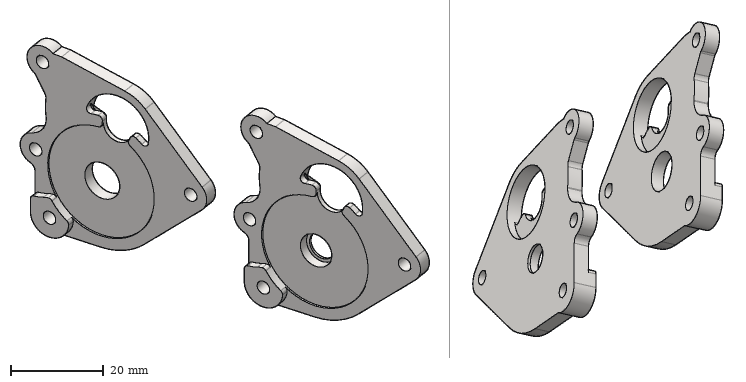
import cadquery as cq
import math


plate_axis = (0, 0)
plate_thickness = 3.6
plate_spacing = 55.0
rim_radius = 16.6
corner_fillet = 1.0

screw_diameter = 3.2
top_screw = (-15.0, 25.4)
side_screw = (-16.8, 2.8)
right_screw = (23.1, 4.1)
foot_screw = (-12.0, -12.0)
lobe_radius = 4.0
right_lobe_radius = 4.1
foot_radius = 4.9

recess_radius = 13.7
recess_depth = 0.5
plain_bore_diameter = 9.0
seat_diameter = 8.0
seat_lip_bore_diameter = 6.5
seat_lip_thickness = 0.6

window_center = (4.0, 14.8)
window_radius = 8.2
pinion_radius = 3.7
window_wall = 2.1
window_web = 1.8

shoulder_start = (-12.6, 28.4)
shoulder_end = (-10.1, 28.3)

bay_x = -14.1
bay_top_z = 17.1
bay_bottom_z = 11.5
bay_bulge = 0.2
bay_flank_offset = 3.5
bay_upper_fillet = 2.1
bay_lower_fillet = 4.8
flank_fillet = 1.0
wall_fillet = 1.9

foot_height = 1.9

wall_x = foot_screw[0] - foot_radius


def polar(center, radius, angle):
    """Point at a radius and an angle (radians) from a center."""
    return (center[0] + radius * math.cos(angle), center[1] + radius * math.sin(angle))


def tangent_angle(first, first_radius, second, second_radius):
    """Direction from both circle centers to the tangent line on the right when going first to second."""
    dx = second[0] - first[0]
    dz = second[1] - first[1]
    lean = math.acos((first_radius - second_radius) / math.hypot(dx, dz))
    return math.atan2(dz, dx) - lean


flank_angle = tangent_angle(top_screw, bay_flank_offset, (bay_x, bay_top_z), 0)


def front_plane(y):
    """Work plane facing -Y, with local X and Y along X and Z."""
    return cq.Workplane("XZ", origin=(0, y, 0))


def circle_crossings(axis_radius, center, radius):
    """Both points where a circle about the plate axis crosses another circle."""
    distance = math.hypot(*center)
    half_angle = math.acos((distance**2 + axis_radius**2 - radius**2) / (2 * distance * axis_radius))
    direction = math.atan2(center[1], center[0])
    return [polar(plate_axis, axis_radius, direction + side * half_angle) for side in (-1, 1)]


def cylinder(center, radius, y_front, y_back):
    return front_plane(y_back).center(*center).circle(radius).extrude(y_back - y_front)


def fillet_near(body, point, y, radius):
    """Round the edge along Y that lies nearest to an (x, z) point."""
    x, z = point
    return body.edges("|Y").edges(cq.NearestToPointSelector((x, y, z))).fillet(radius)


def core_plate():
    """Plate between the lobes, counterclockwise from below the foot screw."""
    top_radius = window_radius + window_wall
    lower_edge = tangent_angle(plate_axis, rim_radius, right_screw, right_lobe_radius)
    upper_edge = tangent_angle(right_screw, right_lobe_radius, window_center, top_radius)
    top_edge = tangent_angle(window_center, top_radius, shoulder_end, 0)
    bay_middle = (bay_x - bay_bulge, (bay_top_z + bay_bottom_z) / 2)
    return (
        front_plane(plate_thickness)
        .moveTo(foot_screw[0], -rim_radius)
        .lineTo(0, -rim_radius)
        .threePointArc(
            polar(plate_axis, rim_radius, (lower_edge - math.pi / 2) / 2),
            polar(plate_axis, rim_radius, lower_edge),
        )
        .lineTo(*polar(right_screw, right_lobe_radius, lower_edge))
        .threePointArc(
            polar(right_screw, right_lobe_radius, (lower_edge + upper_edge) / 2),
            polar(right_screw, right_lobe_radius, upper_edge),
        )
        .lineTo(*polar(window_center, top_radius, upper_edge))
        .threePointArc(
            polar(window_center, top_radius, (upper_edge + top_edge) / 2),
            polar(window_center, top_radius, top_edge),
        )
        .lineTo(*shoulder_end)
        .lineTo(*shoulder_start)
        .lineTo(*top_screw)
        .lineTo(*polar(top_screw, bay_flank_offset, flank_angle))
        .lineTo(bay_x, bay_top_z)
        .threePointArc(bay_middle, (bay_x, bay_bottom_z))
        .lineTo(bay_x, side_screw[1])
        .lineTo(wall_x, side_screw[1])
        .lineTo(wall_x, foot_screw[1])
        .lineTo(*foot_screw)
        .close()
        .extrude(plate_thickness)
    )


def plate_body():
    """Core with its lobes, and the corners between them rounded."""
    body = core_plate()
    for screw, radius in [(top_screw, lobe_radius), (side_screw, lobe_radius), (foot_screw, foot_radius)]:
        body = body.union(cylinder(screw, radius, 0, plate_thickness))

    flank_corner = polar(top_screw, lobe_radius, flank_angle + math.acos(bay_flank_offset / lobe_radius))
    bay_corner = polar(side_screw, lobe_radius, math.acos((bay_x - side_screw[0]) / lobe_radius))
    wall_corner = polar(side_screw, lobe_radius, -math.acos((wall_x - side_screw[0]) / lobe_radius))
    for point, radius in [
        (flank_corner, flank_fillet),
        ((bay_x, bay_top_z), bay_upper_fillet),
        (bay_corner, bay_lower_fillet),
        (wall_corner, wall_fillet),
    ]:
        body = fillet_near(body, point, plate_thickness / 2, radius)
    return body


def raised_foot():
    """Pad around the foot screw; its upper edge follows a clearance arc about the side screw."""
    clearance_radius = math.dist(foot_screw, side_screw) - foot_radius
    foot = cylinder(foot_screw, foot_radius, -foot_height, 0).union(
        front_plane(0)
        .moveTo(*foot_screw)
        .lineTo(wall_x, foot_screw[1])
        .lineTo(wall_x, side_screw[1])
        .lineTo(*side_screw)
        .close()
        .extrude(foot_height)
    )
    foot = foot.cut(cylinder(side_screw, clearance_radius, -foot_height, 0))
    foot = foot.cut(cylinder(plate_axis, recess_radius, -foot_height, 0))
    corner_drop = math.sqrt(clearance_radius**2 - (wall_x - side_screw[0]) ** 2)
    corners = [(wall_x, side_screw[1] - corner_drop)]
    corners += circle_crossings(recess_radius, foot_screw, foot_radius)
    for corner in corners:
        foot = fillet_near(foot, corner, -foot_height / 2, corner_fillet)
    return foot


def gear_window():
    """Cutter: a round gear pocket from the back, open to the front above the rim and around the pinion."""
    opening = cylinder(window_center, window_radius, 0, window_web)
    opening = opening.cut(cylinder(plate_axis, rim_radius, 0, window_web))
    opening = opening.union(cylinder(window_center, pinion_radius, 0, window_web))
    for radius in (window_radius, pinion_radius):
        for corner in circle_crossings(rim_radius, window_center, radius):
            opening = fillet_near(opening, corner, window_web / 2, corner_fillet)
    return opening.union(cylinder(window_center, window_radius, window_web, plate_thickness))


def blank_plate():
    """Plate with everything but the bore on its axis."""
    plate = plate_body().cut(cylinder(plate_axis, recess_radius, 0, recess_depth))
    plate = plate.cut(gear_window())
    for tab_corner in circle_crossings(recess_radius, window_center, pinion_radius):
        plate = fillet_near(plate, tab_corner, recess_depth / 2, corner_fillet)
    plate = plate.union(raised_foot())
    for screw in (top_screw, side_screw, right_screw, foot_screw):
        plate = plate.cut(cylinder(screw, screw_diameter / 2, -foot_height, plate_thickness))
    return plate


def plain_bore_plate():
    return blank_plate().cut(cylinder(plate_axis, plain_bore_diameter / 2, 0, plate_thickness))


def seat_bore_plate():
    """Plate with a bearing seat open to the front and a thin lip at the back."""
    seat = cylinder(plate_axis, seat_diameter / 2, 0, plate_thickness - seat_lip_thickness)
    lip_bore = cylinder(plate_axis, seat_lip_bore_diameter / 2, 0, plate_thickness)
    return blank_plate().cut(seat).cut(lip_bore).translate((plate_spacing, 0, 0))


result = cq.Compound.makeCompound([plain_bore_plate().val(), seat_bore_plate().val()])